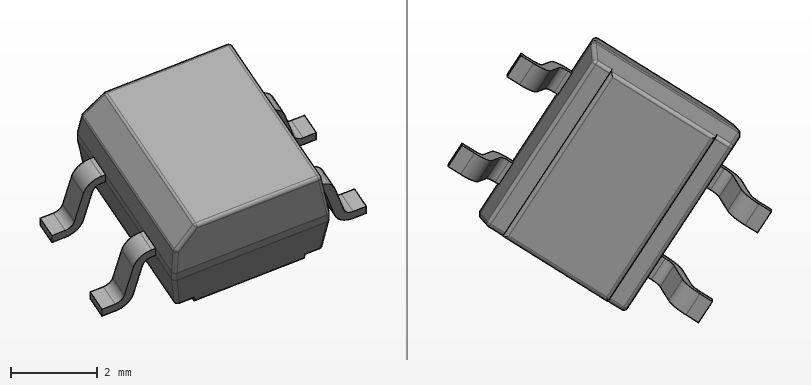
import cadquery as cq
import math

body_length = 4.95
body_width = 4.1
body_top = 2.9
base_height = 0.345
pedestal_height = 0.2
pedestal_width = 2.89
wall_draft = 7.0
edge_radius = 0.1
top_bevel = 0.505

lead_span = 6.9
lead_pitch = 2.54
lead_breadth = 0.6
lead_thickness = 0.25
lead_top = 1.67
foot_length = 0.345
bend_inner_radius = 0.25
bend_angle = 75.0

band_top = lead_top
band_bottom = lead_top - lead_thickness
wall_y = body_width / 2


def drafted_block(height, direction):
    """Block leaning inwards as it leaves the band, upwards (1) or downwards (-1)."""
    start = band_top if direction > 0 else band_bottom
    return (
        cq.Workplane("XY", origin=(0, 0, start))
        .rect(body_length, body_width)
        .extrude(direction * height, taper=wall_draft)
    )


def bevel_cutter():
    """Wedge that removes the upper edge on the -Y side."""
    top_edge_y = -wall_y + (body_top - band_top) * math.tan(math.radians(wall_draft))
    bevel_y = top_edge_y + top_bevel
    drop = body_top - band_top
    return (
        cq.Workplane("YZ")
        .moveTo(bevel_y, body_top)
        .lineTo(bevel_y - drop, band_top)
        .lineTo(bevel_y - drop, body_top)
        .close()
        .extrude(body_length / 2, both=True)
    )


def step_cutters():
    """Bars that cut the underside back on both sides of the pedestal."""
    bar_width = (body_width - pedestal_width) / 2
    bar_y = (body_width + pedestal_width) / 4
    return (
        cq.Workplane("XY", origin=(0, 0, pedestal_height))
        .pushPoints([(0, -bar_y), (0, bar_y)])
        .rect(body_length, bar_width)
        .extrude(base_height - pedestal_height)
    )


def is_rounded(edge):
    """Outer edges are rounded; the band lines and the step corners stay sharp."""
    tolerance = 0.001
    center = edge.Center()
    box = edge.BoundingBox()
    on_band = box.zlen < tolerance and band_bottom - tolerance < center.z < band_top + tolerance
    on_step = abs(abs(center.y) - pedestal_width / 2) < tolerance and center.z > pedestal_height + tolerance
    return not on_band and not on_step


def make_body():
    band = (
        cq.Workplane("XY", origin=(0, 0, band_bottom))
        .rect(body_length, body_width)
        .extrude(lead_thickness)
    )
    upper = drafted_block(body_top - band_top, 1).cut(bevel_cutter())
    lower = drafted_block(band_bottom - pedestal_height, -1).cut(step_cutters())
    block = band.union(upper).union(lower)
    outer_edges = [edge for edge in block.edges().vals() if is_rounded(edge)]
    return block.newObject(outer_edges).fillet(edge_radius)


def make_lead(x):
    """Gull-wing lead on the +Y side, centred at x and ending flush on the body wall."""
    inner = bend_inner_radius
    outer = bend_inner_radius + lead_thickness
    sine = math.sin(math.radians(bend_angle))
    cosine = math.cos(math.radians(bend_angle))

    shank_length = (lead_top - lead_thickness - (inner + outer) * (1 - cosine)) / sine
    toe_y = lead_span / 2
    foot_y = toe_y - foot_length
    shoulder_y = foot_y - (inner + outer) * sine - shank_length * cosine
    shoulder_z = lead_top - outer
    ankle_z = outer

    profile = (
        cq.Workplane("YZ", origin=(x, 0, 0))
        .moveTo(wall_y, lead_top)
        .lineTo(shoulder_y, lead_top)
        .tangentArcPoint((shoulder_y + outer * sine, shoulder_z + outer * cosine), relative=False)
        .lineTo(foot_y - inner * sine, ankle_z - inner * cosine)
        .tangentArcPoint((foot_y, lead_thickness), relative=False)
        .lineTo(toe_y, lead_thickness)
        .lineTo(toe_y, 0)
        .lineTo(foot_y, 0)
        .tangentArcPoint((foot_y - outer * sine, ankle_z - outer * cosine), relative=False)
        .lineTo(shoulder_y + inner * sine, shoulder_z + inner * cosine)
        .tangentArcPoint((shoulder_y, band_bottom), relative=False)
        .lineTo(wall_y, band_bottom)
        .close()
    )
    return profile.extrude(lead_breadth / 2, both=True)


body = make_body()

leads = []
for x in (-lead_pitch / 2, lead_pitch / 2):
    for turn in (0, 180):
        leads.append(make_lead(x).rotate((0, 0, 0), (0, 0, 1), turn).val())

result = cq.Compound.makeCompound([body.val(), *leads])